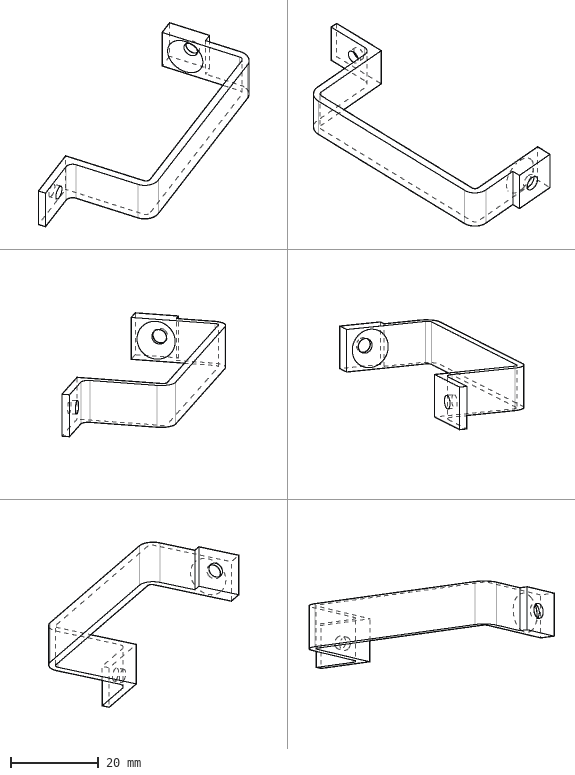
import cadquery as cq

width = 22.8
length = 67.0
height = 10.0

thickness = 1.8
bend_outer_radius = 3.5
bend_inner_radius = 1.0
flange_fillet = 1.75
flange_length = 14.0

pad_length = 10.2
pad_thickness = 3.9
pad_end_inset = 0.2
pad_step = pad_thickness - thickness

flange_hole_diameter = 3.1
flange_hole_from_end = 6.9
screw_hole_diameter = 3.4
countersink_diameter = 9.0
countersink_depth = (countersink_diameter - screw_hole_diameter) / 2
screw_hole_from_pad_end = 5.9

near_inner_y = flange_length
near_outer_y = near_inner_y - thickness
far_inner_y = length - pad_thickness
far_outer_y = length - pad_step
web_inner_x = width - thickness
pad_inner_x = pad_end_inset + pad_length
mid_height = height / 2


def vertical_edge(x, y):
    """Select the vertical edge of the bracket through (x, y)."""
    return cq.selectors.NearestToPointSelector((x, y, mid_height))


def make_strip():
    """Extrude the bracket outline and round its bends."""
    outline = [
        (0, 0),
        (thickness, 0),
        (thickness, near_outer_y),
        (width, near_outer_y),
        (width, far_outer_y),
        (pad_inner_x, far_outer_y),
        (pad_inner_x, length),
        (pad_end_inset, length),
        (pad_end_inset, far_inner_y),
        (web_inner_x, far_inner_y),
        (web_inner_x, near_inner_y),
        (0, near_inner_y),
    ]
    strip = cq.Workplane("XY").polyline(outline).close().extrude(height)
    strip = strip.edges(vertical_edge(thickness, near_outer_y)).fillet(flange_fillet)
    for inner_y, outer_y in ((near_inner_y, near_outer_y), (far_inner_y, far_outer_y)):
        strip = strip.edges(vertical_edge(web_inner_x, inner_y)).fillet(bend_inner_radius)
        strip = strip.edges(vertical_edge(width, outer_y)).fillet(bend_outer_radius)
    return strip


def make_flange_hole():
    """Plain hole through the flange, along X."""
    return (
        cq.Workplane("YZ")
        .center(flange_hole_from_end, mid_height)
        .circle(flange_hole_diameter / 2)
        .extrude(thickness)
    )


def make_screw_hole():
    """Hole through the pad along Y, countersunk from the pad's inner face."""
    center = cq.Vector(pad_end_inset + screw_hole_from_pad_end, far_inner_y, mid_height)
    axis = cq.Vector(0, 1, 0)
    screw_radius = screw_hole_diameter / 2
    shank = cq.Solid.makeCylinder(screw_radius, pad_thickness, center, axis)
    cone = cq.Solid.makeCone(countersink_diameter / 2, screw_radius, countersink_depth, center, axis)
    return cq.Workplane(shank).union(cq.Workplane(cone))


result = make_strip().cut(make_flange_hole()).cut(make_screw_hole())